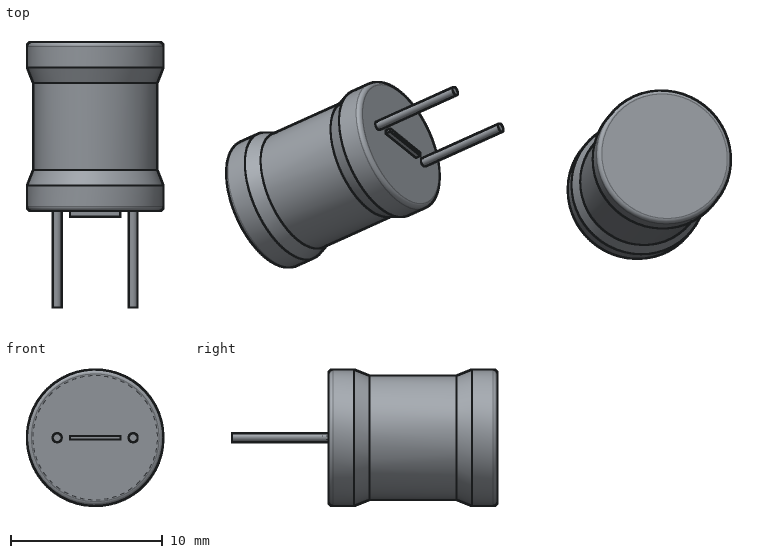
import cadquery as cq


housing_length = 11.15
rim_radius = 4.5
rim_length = 1.7
rim_fillet = 0.3
waist_radius = 4.1
taper_length = 1.0

overall_length = 17.5
lead_length = overall_length - housing_length
lead_diameter = 0.6
lead_pitch = 5.0

bar_width = 3.33
bar_thickness = 0.25
bar_height = 0.38


def make_housing():
    """Round body revolved about the Y axis, with the outer end edges rounded."""
    taper_start = rim_length
    taper_end = rim_length + taper_length
    profile = (
        cq.Workplane("XY")
        .moveTo(0, 0)
        .lineTo(rim_radius, 0)
        .lineTo(rim_radius, taper_start)
        .lineTo(waist_radius, taper_end)
        .lineTo(waist_radius, housing_length - taper_end)
        .lineTo(rim_radius, housing_length - taper_start)
        .lineTo(rim_radius, housing_length)
        .lineTo(0, housing_length)
        .close()
    )
    spool = profile.revolve(360, (0, 0, 0), (0, 1, 0))
    return spool.faces("<Y or >Y").edges().fillet(rim_fillet)


def make_standoff_bar():
    """Thin flat bar standing on the base face; the XZ plane normal points to -Y."""
    return cq.Workplane("XZ").rect(bar_width, bar_thickness).extrude(bar_height)


def make_lead(x_position):
    """Straight round lead running from the base face toward -Y."""
    return cq.Workplane("XZ").center(x_position, 0).circle(lead_diameter / 2).extrude(lead_length)


housing = make_housing()
standoff_bar = make_standoff_bar()

leads = []
for side in (-1, 1):
    leads.append(make_lead(side * lead_pitch / 2))

result = cq.Compound.makeCompound(
    [housing.val(), standoff_bar.val(), *[lead.val() for lead in leads]]
)